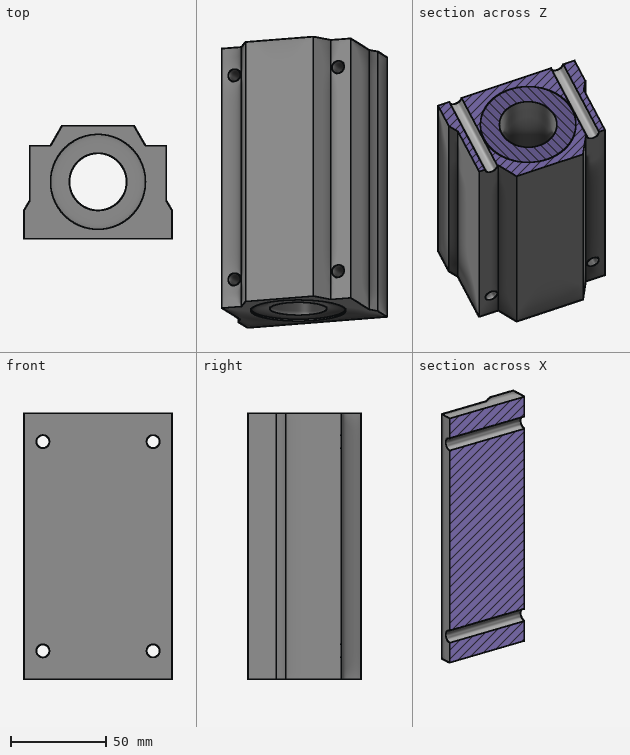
import cadquery as cq

length = 140.0
base_width = 78.0
height = 59.5
bore_height = 30.0

shoulder_width = 72.0
crown_bottom_width = 50.0
crown_top_width = 38.0
flank_height = 15.0
bevel_height = 20.0
shoulder_height = 49.0

hole_diameter = 6.7
hole_spacing_x = 58.0
hole_spacing_z = 110.0

bushing_outer_diameter = 50.0
bushing_inner_diameter = 30.0
bushing_recess = 1.0
bushing_length = length - 2 * bushing_recess

mounting_face_y = -bore_height


def make_profile():
    """Cross-section of the housing, symmetric about the YZ plane."""
    right_side = [
        (base_width / 2, mounting_face_y),
        (base_width / 2, mounting_face_y + flank_height),
        (shoulder_width / 2, mounting_face_y + bevel_height),
        (shoulder_width / 2, mounting_face_y + shoulder_height),
        (crown_bottom_width / 2, mounting_face_y + shoulder_height),
        (crown_top_width / 2, mounting_face_y + height),
    ]
    left_side = [(-x, y) for x, y in reversed(right_side)]
    return right_side + left_side


def make_mounting_holes():
    """Four cylinders along Y that pass through the whole housing."""
    return (
        cq.Workplane("XZ", origin=(0, mounting_face_y, 0))
        .rarray(hole_spacing_x, hole_spacing_z, 2, 2)
        .circle(hole_diameter / 2)
        .extrude(-height)
    )


def make_housing():
    """Extruded block with a through bore and four mounting holes."""
    bottom = cq.Workplane("XY", origin=(0, 0, -length / 2))
    block = bottom.polyline(make_profile()).close().extrude(length)
    bore = bottom.circle(bushing_outer_diameter / 2).extrude(length)
    return block.cut(bore).cut(make_mounting_holes())


def make_bushing():
    """Plain sleeve that fills the bore between the two end recesses."""
    return (
        cq.Workplane("XY", origin=(0, 0, -bushing_length / 2))
        .circle(bushing_outer_diameter / 2)
        .circle(bushing_inner_diameter / 2)
        .extrude(bushing_length)
    )


housing = make_housing()
bushing = make_bushing()
result = cq.Compound.makeCompound([housing.val(), bushing.val()])